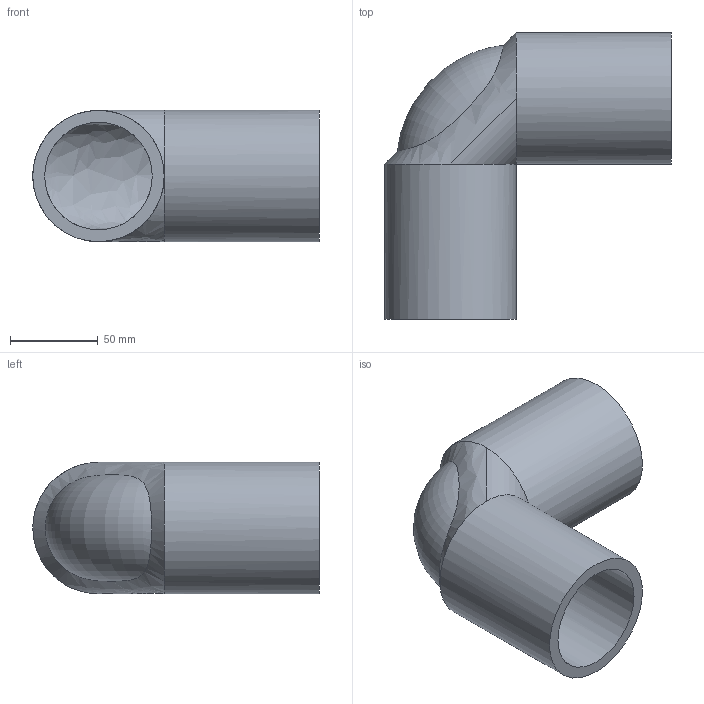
import cadquery as cq
import math

outer_diameter = 75.0
wall = 6.8
leg_length = 88.5

outer_radius = outer_diameter / 2
bore_radius = outer_radius - wall
bend_angle = 90
slant_angle = bend_angle / 2


def end_profile(radius):
    """Circle at the root of the -Y leg, in the plane y = 0."""
    return cq.Workplane("XZ").center(-outer_radius, 0).circle(radius)


def legs(radius):
    """Both straight legs as rods of the given radius."""
    along_y = end_profile(radius).extrude(leg_length)
    along_x = cq.Workplane("YZ").center(outer_radius, 0).circle(radius).extrude(leg_length)
    return along_y.union(along_x)


def corner(radius):
    """Slanted rod whose straight sides join the roots of the two legs.

    Its square section is an ellipse, so that it meets both leg roots in a
    full circle of the given radius.
    """
    half_width = radius * math.cos(math.radians(slant_angle))
    rod_start = (-outer_radius - outer_diameter, -outer_diameter, 0)
    rod_length = 4 * outer_diameter
    section = cq.Plane(origin=rod_start, xDir=(0, 0, 1), normal=(1, 1, 0))
    rod = cq.Workplane(section).ellipse(radius, half_width).extrude(rod_length)
    trim_size = 2 * outer_diameter
    trim = cq.Workplane("XY").box(trim_size, trim_size, trim_size)
    trim = trim.translate((-trim_size / 2, trim_size / 2, 0))
    return rod.intersect(trim)


def bend(radius):
    """Quarter-torus rod turning about the inner corner."""
    axis_start = (outer_radius, 0)
    axis_end = (outer_radius, -1)
    return end_profile(radius).revolve(bend_angle, axis_start, axis_end)


body = corner(outer_radius).union(bend(bore_radius)).union(legs(outer_radius))
bore = corner(bore_radius).union(legs(bore_radius))
result = body.cut(bore)